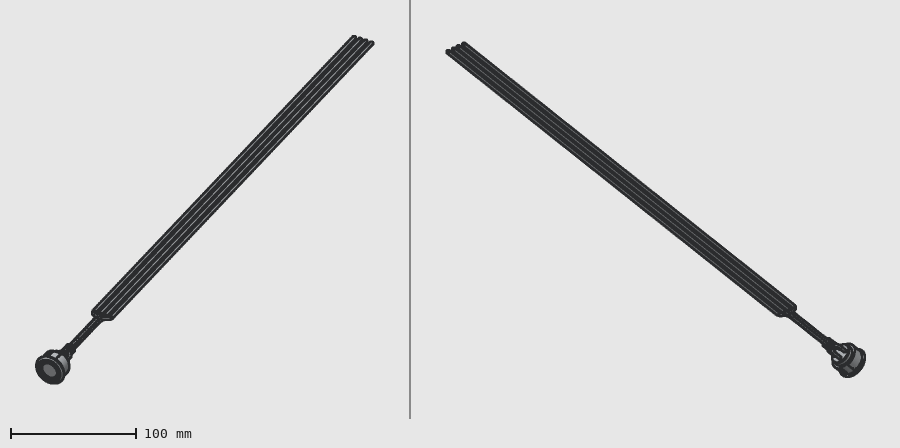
import cadquery as cq
import math

TOTAL_LENGTH = 518.0

FLANGE_DIAMETER = 25.0
FLANGE_THICKNESS = 2.0
FLANGE_BEVEL_DEPTH = 1.2
BODY_DIAMETER = 20.4
BODY_BACK = 13.0
COLLAR_DIAMETER = 17.4
COLLAR_BACK = 17.3
COLLAR_CHAMFER = 0.5

RECESS_DEPTH = 0.4
GROOVE_OUTER_DIAMETER = 15.4
GROOVE_INNER_DIAMETER = 13.7
GROOVE_DEPTH = 0.5

GRIP_DIAMETER = 22.6
GRIP_FRONT = 3.5
GRIP_GAP = 7.8

CONDUCTOR_DIAMETER = 2.5
BUNDLE_RADIUS = 1.7
BUNDLE_FRONT = 30.5
BUNDLE_BACK = 77.0
RING_DIAMETER = 8.0
CLAMP_RINGS = ((30.0, 32.0), (34.5, 35.4))

HEAD_RADIUS = 4.8
HEAD_BEND_FRONT = 24.0
HEAD_KNEE_RADIUS = 4.2
HEAD_KNEE_Y = 26.8
HEAD_KNEE_SLOPE = 0.75
HEAD_EMBED = 1.0

LEAD_DIAMETER = 3.0
INNER_LEAD_X = 2.4
OUTER_LEAD_X = 7.8
LEADS_BY_ANGLE = (
    (0, OUTER_LEAD_X),
    (90, INNER_LEAD_X),
    (180, -OUTER_LEAD_X),
    (270, -INNER_LEAD_X),
)
FAN_BACK = 88.0
FAN_KNEE_LENGTH = 2.5
FAN_KNEE_WIDTH = 1.8
FAN_KNEE_SLOPE = 4.0

ALONG = cq.Vector(0, 1, 0)


def disc(diameter, front, back):
    """Cylinder on the Y axis between two Y positions."""
    return cq.Workplane("XZ", origin=(0, front, 0)).circle(diameter / 2).extrude(front - back)


def revolved(profile):
    """Solid of revolution around Y from (radius, y) points."""
    return cq.Workplane("XY").polyline(profile).close().revolve(360, (0, 0, 0), (0, 1, 0))


def make_head():
    """Bevelled flange, body and collar, with the recess and ring groove in the front face."""
    flange_radius = FLANGE_DIAMETER / 2
    body_radius = BODY_DIAMETER / 2
    collar_radius = COLLAR_DIAMETER / 2
    head = revolved([
        (0, 0),
        (body_radius, 0),
        (flange_radius, FLANGE_BEVEL_DEPTH),
        (flange_radius, FLANGE_THICKNESS),
        (body_radius, FLANGE_THICKNESS),
        (body_radius, BODY_BACK),
        (collar_radius, BODY_BACK),
        (collar_radius, COLLAR_BACK - COLLAR_CHAMFER),
        (collar_radius - COLLAR_CHAMFER, COLLAR_BACK),
        (0, COLLAR_BACK),
    ])
    groove_bottom = RECESS_DEPTH + GROOVE_DEPTH
    groove = disc(GROOVE_OUTER_DIAMETER, 0, groove_bottom).cut(disc(GROOVE_INNER_DIAMETER, 0, groove_bottom))
    return head.cut(disc(COLLAR_DIAMETER, 0, RECESS_DEPTH)).cut(groove)


def make_grips():
    """Two raised shell segments on the -X and +X sides of the body."""
    gap = cq.Workplane("XY").box(GRIP_GAP, 2 * COLLAR_BACK, GRIP_DIAMETER)
    return disc(GRIP_DIAMETER, GRIP_FRONT, BODY_BACK).cut(gap)


def make_clamp_rings():
    rings = cq.Workplane("XY")
    for front, back in CLAMP_RINGS:
        rings = rings.add(disc(RING_DIAMETER, front, back))
    return rings


def curve(start, end, start_direction, end_direction):
    """Smooth edge between two points with given directions at its ends."""
    return cq.Edge.makeSpline([start, end], tangents=[start_direction, end_direction])


def make_conductor(angle, lead_x):
    """One conductor that leaves the head at an angle around Y and ends in the fan at lead_x."""
    outward = cq.Vector(math.cos(angle), 0, math.sin(angle))
    head_start = outward * HEAD_RADIUS + ALONG * (COLLAR_BACK - HEAD_EMBED)
    head_bend = outward * HEAD_RADIUS + ALONG * HEAD_BEND_FRONT
    head_knee = outward * HEAD_KNEE_RADIUS + ALONG * HEAD_KNEE_Y
    bundle_front = outward * BUNDLE_RADIUS + ALONG * BUNDLE_FRONT
    bundle_back = outward * BUNDLE_RADIUS + ALONG * BUNDLE_BACK
    fan_end = cq.Vector(lead_x, FAN_BACK, 0)
    head_slope = ALONG - outward * HEAD_KNEE_SLOPE
    edges = [
        cq.Edge.makeLine(head_start, head_bend),
        curve(head_bend, head_knee, ALONG, head_slope),
        curve(head_knee, bundle_front, head_slope, ALONG),
        cq.Edge.makeLine(bundle_front, bundle_back),
    ]
    if abs(lead_x) == OUTER_LEAD_X:
        side = math.copysign(1, lead_x)
        fan_knee = fan_end - cq.Vector(side * FAN_KNEE_WIDTH, FAN_KNEE_LENGTH, 0)
        fan_slope = cq.Vector(side * FAN_KNEE_SLOPE, 1, 0)
        edges.append(curve(bundle_back, fan_knee, ALONG, fan_slope))
        edges.append(curve(fan_knee, fan_end, fan_slope, ALONG))
    else:
        edges.append(curve(bundle_back, fan_end, ALONG, ALONG))
    profile = cq.Workplane("XZ", origin=head_start.toTuple()).circle(CONDUCTOR_DIAMETER / 2)
    conductor = profile.sweep(cq.Wire.assembleEdges(edges))
    lead = disc(LEAD_DIAMETER, FAN_BACK, TOTAL_LENGTH).translate((lead_x, 0, 0))
    return conductor.union(lead)


result = make_head().union(make_grips()).union(make_clamp_rings())
for degrees, lead_x in LEADS_BY_ANGLE:
    result = result.union(make_conductor(math.radians(degrees), lead_x))